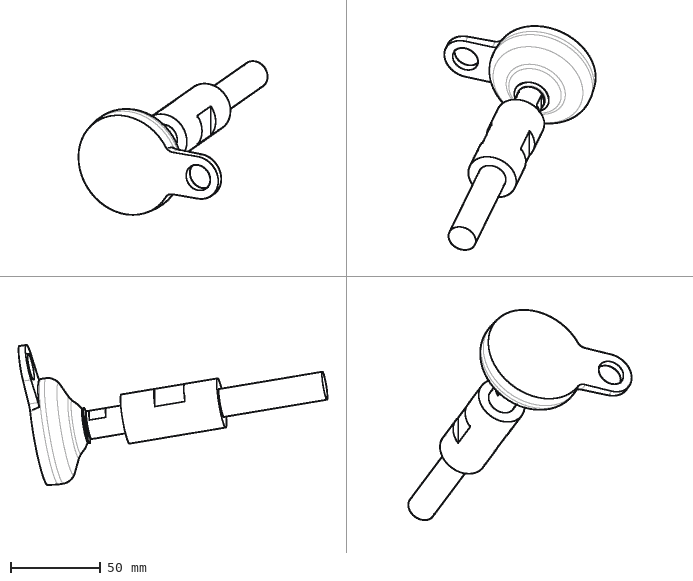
import cadquery as cq
import math

TOTAL_LENGTH = 163.0

FOOT_BASE_RADIUS = 29.3
FOOT_RADIUS = 30.0
DRAFT_TOP = 6.0
BAND_TOP = 9.0
SHOULDER_RADIUS = 26.2
SHOULDER_TOP = 15.3
SHOULDER_BULGE = (29.0, 12.4)
FLARE_RADIUS = 17.3
FLARE_TOP = 19.7
FLARE_MIDDLE = (21.5, 17.6)
CONE_RADIUS = 15.3
CONE_TOP = 21.2
NECK_RADIUS = 9.3
NECK_TOP = 26.2
DOME_MIDDLE = (12.7, 24.0)
LIP_RADIUS = 10.1
LIP_HEIGHT = 27.2
FOOT_TOP_RADIUS = 8.2
FOOT_TOP = 27.7

TAB_CENTRE_X = 45.5
TAB_RADIUS = 12.5
TAB_HOLE_DIAMETER = 15.0
TAB_FILLET = 5.0
TAB_ROOT_THICKNESS = 5.4
TAB_TIP_THICKNESS = 3.9

SPINDLE_DIAMETER = 16.0
SPINDLE_CHAMFER = 0.8
SPINDLE_FLATS_WIDTH = 13.0
SPINDLE_FLATS_START = 30.0
SPINDLE_FLATS_LENGTH = 9.5

SLEEVE_DIAMETER = 28.0
SLEEVE_START = 49.2
SLEEVE_LENGTH = 55.0
SLEEVE_FLATS_WIDTH = 22.0
SLEEVE_FLATS_START = 68.3
SLEEVE_FLATS_LENGTH = 17.1


def rod(diameter, start, length):
    """Cylinder along +Y, beginning at Y = start."""
    return (
        cq.Workplane("XZ", origin=(0, start, 0))
        .circle(diameter / 2)
        .extrude(-length)
    )


def cut_flats(body, diameter, width, start, length):
    """Cut two parallel flats, facing -X and +X, into a round body."""
    for side in (-1, 1):
        cutter = cq.Workplane("XY").box(diameter, length, 2 * diameter)
        body = body.cut(cutter.translate((side * (width + diameter) / 2, start + length / 2, 0)))
    return body


def make_foot_disc():
    """Revolve the half section of the foot about the Y axis."""
    return (
        cq.Workplane("XY")
        .lineTo(FOOT_BASE_RADIUS, 0)
        .lineTo(FOOT_RADIUS, DRAFT_TOP)
        .lineTo(FOOT_RADIUS, BAND_TOP)
        .threePointArc(SHOULDER_BULGE, (SHOULDER_RADIUS, SHOULDER_TOP))
        .threePointArc(FLARE_MIDDLE, (FLARE_RADIUS, FLARE_TOP))
        .lineTo(CONE_RADIUS, CONE_TOP)
        .threePointArc(DOME_MIDDLE, (NECK_RADIUS, NECK_TOP))
        .lineTo(LIP_RADIUS, LIP_HEIGHT)
        .lineTo(FOOT_TOP_RADIUS, FOOT_TOP)
        .lineTo(0, FOOT_TOP)
        .close()
        .revolve(360, (0, 0, 0), (0, 1, 0))
    )


def make_tab():
    """Rounded tab along +X, blended into the foot and thinning towards its tip."""
    blend_z = TAB_RADIUS + TAB_FILLET
    centre_distance = FOOT_BASE_RADIUS + TAB_FILLET
    blend_x = math.sqrt(centre_distance**2 - blend_z**2)
    root_x = blend_x * FOOT_BASE_RADIUS / centre_distance
    root_z = blend_z * FOOT_BASE_RADIUS / centre_distance
    start_angle = math.atan2(blend_z, blend_x) + math.pi
    middle_angle = (start_angle + 1.5 * math.pi) / 2
    middle_x = blend_x + TAB_FILLET * math.cos(middle_angle)
    middle_z = blend_z + TAB_FILLET * math.sin(middle_angle)
    tip_x = TAB_CENTRE_X + TAB_RADIUS

    outline = (
        cq.Workplane("XZ")
        .moveTo(0, root_z)
        .lineTo(root_x, root_z)
        .threePointArc((middle_x, middle_z), (blend_x, TAB_RADIUS))
        .lineTo(TAB_CENTRE_X, TAB_RADIUS)
        .threePointArc((tip_x, 0), (TAB_CENTRE_X, -TAB_RADIUS))
        .lineTo(blend_x, -TAB_RADIUS)
        .threePointArc((middle_x, -middle_z), (root_x, -root_z))
        .lineTo(0, -root_z)
        .close()
        .extrude(-BAND_TOP)
    )
    slope = (TAB_ROOT_THICKNESS - TAB_TIP_THICKNESS) / (tip_x - FOOT_BASE_RADIUS)
    axis_thickness = TAB_ROOT_THICKNESS + slope * FOOT_BASE_RADIUS
    side_profile = (
        cq.Workplane("XY")
        .lineTo(tip_x, 0)
        .lineTo(tip_x, TAB_TIP_THICKNESS)
        .lineTo(0, axis_thickness)
        .close()
        .extrude(FOOT_RADIUS, both=True)
    )
    hole = rod(TAB_HOLE_DIAMETER, 0, BAND_TOP).translate((TAB_CENTRE_X, 0, 0))
    return outline.intersect(side_profile).cut(hole)


def make_foot():
    """Foot disc with its fixing tab, as one solid."""
    return make_foot_disc().union(make_tab())


def make_spindle():
    """Plain rod standing on the foot, with flats near its chamfered lower end."""
    spindle = rod(SPINDLE_DIAMETER, FOOT_TOP, TOTAL_LENGTH - FOOT_TOP)
    spindle = spindle.faces("<Y").chamfer(SPINDLE_CHAMFER)
    return cut_flats(
        spindle, SPINDLE_DIAMETER, SPINDLE_FLATS_WIDTH, SPINDLE_FLATS_START, SPINDLE_FLATS_LENGTH
    )


def make_sleeve():
    """Sleeve around the spindle, with flats halfway along it."""
    sleeve = rod(SLEEVE_DIAMETER, SLEEVE_START, SLEEVE_LENGTH)
    sleeve = sleeve.cut(rod(SPINDLE_DIAMETER, SLEEVE_START, SLEEVE_LENGTH))
    return cut_flats(
        sleeve, SLEEVE_DIAMETER, SLEEVE_FLATS_WIDTH, SLEEVE_FLATS_START, SLEEVE_FLATS_LENGTH
    )


foot = make_foot()
spindle = make_spindle()
sleeve = make_sleeve()

result = cq.Compound.makeCompound([foot.val(), spindle.val(), sleeve.val()])